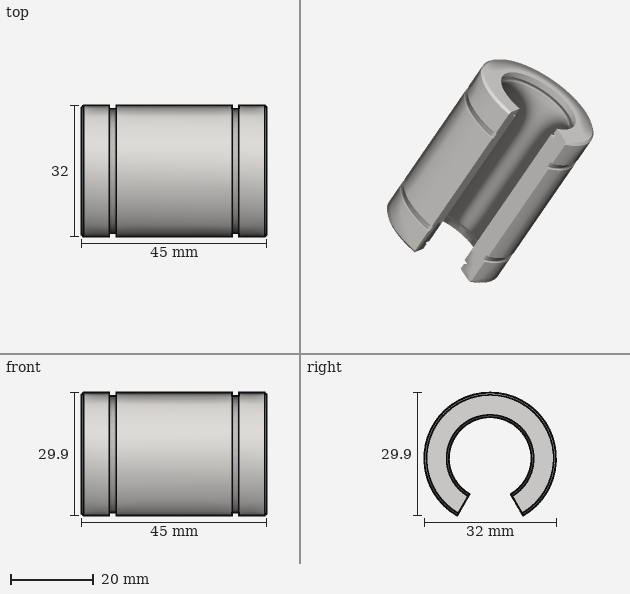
import cadquery as cq
import math

length = 45.0
outer_diameter = 32.0
outer_radius = outer_diameter / 2
bore_radius = 10.0
end_chamfer = 0.6

groove_offset = 6.8
groove_width = 1.6
groove_depth = 0.85

recess_radius = 10.58
recess_depth = 1.58
inner_groove_radius = 11.5
inner_groove_width = 0.75

opening_angle = 60.0


def cylinder(start, size, radius):
    """Solid cylinder along X, beginning at the given X position."""
    return cq.Workplane("YZ", origin=(start, 0, 0)).circle(radius).extrude(size)


def opening_wedge():
    """Triangular prism with its apex on the axis, widening towards -Z."""
    depth = 2 * outer_radius
    half_width = depth * math.tan(math.radians(opening_angle / 2))
    return (
        cq.Workplane("YZ", origin=(-length / 2, 0, 0))
        .polyline([(0, 0), (half_width, -depth), (-half_width, -depth)])
        .close()
        .extrude(length)
    )


def end_recess():
    """Stepped plug at the -X end: the recess followed by the wider internal groove."""
    face = -length / 2
    recess = cylinder(face, recess_depth, recess_radius)
    inner_groove = cylinder(face + recess_depth, inner_groove_width, inner_groove_radius)
    return recess.union(inner_groove)


sleeve = cylinder(-length / 2, length, outer_radius).edges().chamfer(end_chamfer)
sleeve = sleeve.cut(cylinder(-length / 2, length, bore_radius))

left_groove = -length / 2 + groove_offset
right_groove = length / 2 - groove_offset - groove_width
for start in (left_groove, right_groove):
    ring = cylinder(start, groove_width, outer_radius).cut(
        cylinder(start, groove_width, outer_radius - groove_depth)
    )
    sleeve = sleeve.cut(ring)

left_recess = end_recess()
sleeve = sleeve.cut(left_recess).cut(left_recess.mirror("YZ"))

result = sleeve.cut(opening_wedge())